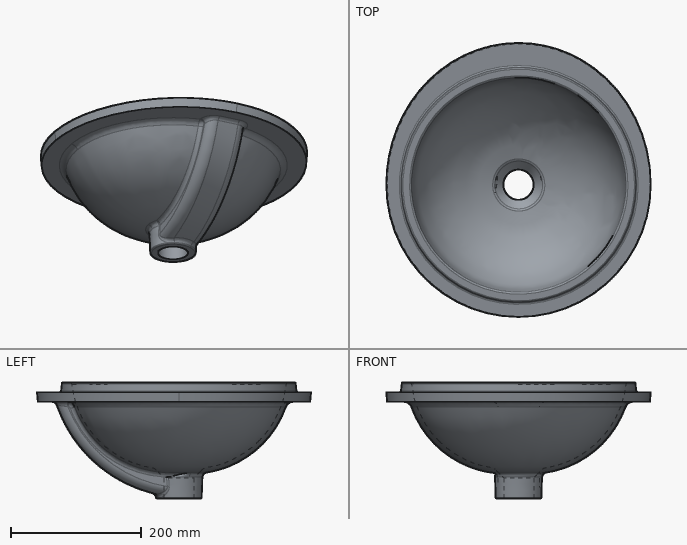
import cadquery as cq
import math

TOTAL_HEIGHT = 178.0

RIM_TOP_RADIUS = 179.2
RIM_FOOT_RADIUS = 180.8
RIM_ROUNDING = 2.0
RIM_FOOT_FILLET = 2.5
RIM_INNER_ROUNDING = 3.0

FLANGE_TOP_DEPTH = 15.0
FLANGE_THICKNESS = 15.0
FLANGE_WIDTH = 405.67
FLANGE_LENGTH = 420.32
FLANGE_RADIUS = FLANGE_WIDTH / 2
FLANGE_REACH = FLANGE_LENGTH - FLANGE_RADIUS
FLANGE_DRAFT = 5.0

BOWL_ARC_OFFSET = 19.1
BOWL_ARC_HEIGHT = 13.9
BOWL_OUTER_ARC = 154.0
BOWL_WALL = 7.8
BOWL_INNER_ARC = BOWL_OUTER_ARC - BOWL_WALL
BOWL_FLANGE_FILLET = 11.0

NECK_TOP_RADIUS = 36.7
NECK_BOTTOM_RADIUS = 35.2
NECK_EDGE_ROUNDING = 2.0
DRAIN_RADIUS = 23.0
DRAIN_MOUTH_RADIUS = 38.0
DRAIN_MOUTH_ROUNDING = 6.0

RIB_HALF_WIDTH = 32.0
RIB_ARC_OFFSET = -12.2
RIB_ARC_HEIGHT = 34.4
RIB_ARC_RADIUS = 211.0
RIB_EDGE_ROUNDING = 15.0

ROOT_FILLET = 7.0

EDGE_SLACK = 0.5
SMOOTH_ANGLE = math.radians(5)
UNDERSIDE_RADIUS = 195.0

FLANGE_BOTTOM = -(FLANGE_TOP_DEPTH + FLANGE_THICKNESS)


def arc_z(offset, height, radius, r):
    """Height of the lower half of an arc at distance r from the bowl axis."""
    return height - math.sqrt(radius**2 - (r - offset) ** 2)


def arc_r(offset, height, radius, z):
    """Distance from the bowl axis of the outer half of an arc at height z."""
    return offset + math.sqrt(radius**2 - (z - height) ** 2)


def arc_middle(offset, height, radius, start, end):
    """Point on an arc halfway, by angle, between two of its points."""
    first = math.atan2(start[1] - height, start[0] - offset)
    last = math.atan2(end[1] - height, end[0] - offset)
    angle = (first + last) / 2
    return (offset + radius * math.cos(angle), height + radius * math.sin(angle))


def make_flange():
    outline = (
        cq.Workplane("XY", origin=(0, 0, -FLANGE_TOP_DEPTH))
        .moveTo(-FLANGE_RADIUS, 0)
        .threePointArc((0, -FLANGE_RADIUS), (FLANGE_RADIUS, 0))
        .ellipseArc(FLANGE_RADIUS, FLANGE_REACH, 0, 180, startAtCurrent=True)
        .close()
    )
    return outline.extrude(-FLANGE_THICKNESS, taper=FLANGE_DRAFT)


def make_rim():
    foot_z = -FLANGE_TOP_DEPTH
    return (
        cq.Workplane("XZ")
        .moveTo(0, 0)
        .lineTo(RIM_TOP_RADIUS, 0)
        .lineTo(RIM_FOOT_RADIUS, foot_z)
        .lineTo(0, foot_z)
        .close()
        .revolve(360, (0, 0), (0, 1))
        .faces(">Z")
        .edges()
        .fillet(RIM_ROUNDING)
    )


def make_bowl_body():
    """Solid bowl and drain neck below the flange top."""
    arc = (BOWL_ARC_OFFSET, BOWL_ARC_HEIGHT, BOWL_OUTER_ARC)
    start = (arc_r(*arc, -FLANGE_TOP_DEPTH), -FLANGE_TOP_DEPTH)
    end = (NECK_TOP_RADIUS, arc_z(*arc, NECK_TOP_RADIUS))
    return (
        cq.Workplane("XZ")
        .moveTo(0, start[1])
        .lineTo(*start)
        .threePointArc(arc_middle(*arc, start, end), end)
        .lineTo(NECK_BOTTOM_RADIUS, -TOTAL_HEIGHT)
        .lineTo(0, -TOTAL_HEIGHT)
        .close()
        .revolve(360, (0, 0), (0, 1))
    )


def make_rib():
    arc = (RIB_ARC_OFFSET, RIB_ARC_HEIGHT, RIB_ARC_RADIUS)
    start = (arc_r(*arc, -FLANGE_TOP_DEPTH), -FLANGE_TOP_DEPTH)
    end = (0, arc_z(*arc, 0))
    return (
        cq.Workplane("YZ")
        .moveTo(0, start[1])
        .lineTo(*start)
        .threePointArc(arc_middle(*arc, start, end), end)
        .close()
        .extrude(RIB_HALF_WIDTH, both=True)
        .edges("%CIRCLE")
        .fillet(RIB_EDGE_ROUNDING)
    )


def make_cavity():
    """Space inside the bowl, open at the rim and running out through the drain."""
    arc = (BOWL_ARC_OFFSET, BOWL_ARC_HEIGHT, BOWL_INNER_ARC)
    start = (arc_r(*arc, 0), 0)
    end = (DRAIN_MOUTH_RADIUS, arc_z(*arc, DRAIN_MOUTH_RADIUS))
    cone_depth = DRAIN_MOUTH_RADIUS - DRAIN_RADIUS
    cavity = (
        cq.Workplane("XZ")
        .moveTo(0, 0)
        .lineTo(*start)
        .threePointArc(arc_middle(*arc, start, end), end)
        .lineTo(DRAIN_RADIUS, end[1] - cone_depth)
        .lineTo(DRAIN_RADIUS, -TOTAL_HEIGHT)
        .lineTo(0, -TOTAL_HEIGHT)
        .close()
        .revolve(360, (0, 0), (0, 1))
    )
    mouth = level_circle(end[1], DRAIN_MOUTH_RADIUS + EDGE_SLACK)
    return cavity.edges(mouth).fillet(DRAIN_MOUTH_ROUNDING)


def level_circle(z, radius):
    """Selector for the edges level at height z that stay within a radius of the bowl axis."""
    return cq.selectors.BoxSelector(
        (-radius, -radius, z - EDGE_SLACK), (radius, radius, z + EDGE_SLACK), boundingbox=True
    )


def underside_creases(body):
    """Edges below the flange, inside its outline, where two faces meet at an angle."""
    region = cq.selectors.BoxSelector(
        (-UNDERSIDE_RADIUS, -UNDERSIDE_RADIUS, NECK_EDGE_ROUNDING - TOTAL_HEIGHT),
        (UNDERSIDE_RADIUS, UNDERSIDE_RADIUS, FLANGE_BOTTOM + EDGE_SLACK),
        boundingbox=True,
    )
    creases = []
    for edge in body.edges(region).vals():
        middle = edge.positionAt(0.5)
        normals = [
            face.normalAt(middle)
            for face in body.faces().vals()
            if any(border.isSame(edge) for border in face.Edges())
        ]
        if len(normals) == 2 and normals[0].getAngle(normals[1]) > SMOOTH_ANGLE:
            creases.append(edge)
    return body.newObject(creases)


def make_outer_body():
    """Solid basin without its cavity, with all the outside corners blended."""
    body = make_flange().union(make_bowl_body())
    body = underside_creases(body).edges(">Z").fillet(BOWL_FLANGE_FILLET)
    body = body.union(make_rib())
    body = underside_creases(body).fillet(ROOT_FILLET)
    body = body.edges("<Z").fillet(NECK_EDGE_ROUNDING)
    body = body.union(make_rim())
    rim_foot = level_circle(-FLANGE_TOP_DEPTH, RIM_FOOT_RADIUS + EDGE_SLACK)
    return body.edges(rim_foot).fillet(RIM_FOOT_FILLET)


def make_basin():
    basin = make_outer_body().cut(make_cavity())
    rim_mouth = level_circle(0, RIM_TOP_RADIUS - RIM_ROUNDING - EDGE_SLACK)
    return basin.edges(rim_mouth).fillet(RIM_INNER_ROUNDING)


result = make_basin()